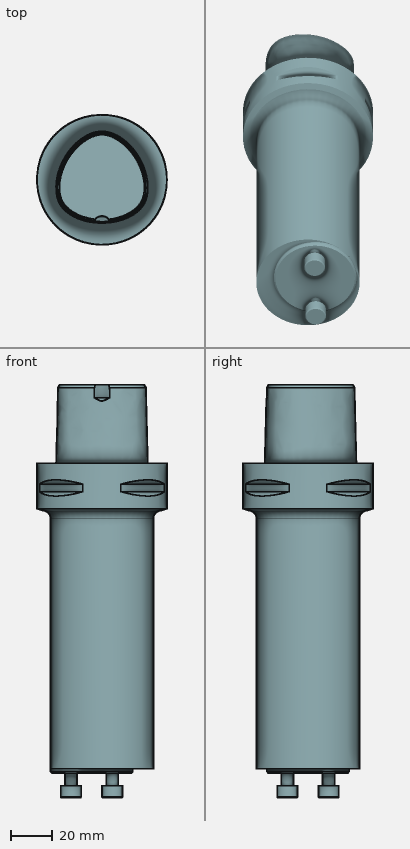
import cadquery as cq
import math

total_length = 200.0
shank_height = 38.0
screw_bottom_z = shank_height - total_length

shank_radius = 22.25
lobe_height = 1.25
taper = 1 / 40
rim_chamfer_height = 1.5
rim_chamfer_width = 0.8
outline_points = 48

notch_diameter = 8.0
notch_axis_y = -21.5
notch_depth = 6.3
drill_tip_angle = 118.0

flange_diameter = 63.0
flange_rim_height = 22.0
shoulder_drop = 1.0
neck_radius = 3.6
body_diameter = 50.0
body_bottom_z = -148.0

groove_count = 4
groove_z = -12.0
groove_floor_width = 3.6
groove_depth = 3.7
groove_flank_angle = 30.0

disc_diameter = 40.0
disc_thickness = 2.0
disc_chamfer = 0.8
disc_x = -(body_diameter - disc_diameter) / 2
screw_offset = 10.0
screw_shank_diameter = 6.0
screw_head_diameter = 10.0
screw_head_height = 6.0
screw_head_chamfer = 0.5


def lobed_point(mean_radius, angle):
    """Point of the constant-width outline whose normal points along angle."""
    reach = mean_radius - lobe_height * math.sin(3 * angle)
    slope = -3 * lobe_height * math.cos(3 * angle)
    return (
        reach * math.cos(angle) - slope * math.sin(angle),
        reach * math.sin(angle) + slope * math.cos(angle),
    )


def lobed_loft(lower_radius, upper_radius, lower_z, height):
    """Ruled solid between two lobed outlines."""
    angles = [2 * math.pi * i / outline_points for i in range(outline_points)]
    lower = [lobed_point(lower_radius, a) for a in angles]
    upper = [lobed_point(upper_radius, a) for a in angles]
    return (
        cq.Workplane("XY", origin=(0, 0, lower_z))
        .spline(lower, periodic=True).close()
        .workplane(offset=height)
        .spline(upper, periodic=True).close()
        .loft(ruled=True)
    )


def make_shank():
    rim_z = shank_height - rim_chamfer_height
    rim_radius = shank_radius - taper * rim_z
    cone = lobed_loft(shank_radius, rim_radius, 0, rim_z)
    rim = lobed_loft(rim_radius, rim_radius - rim_chamfer_width, rim_z, rim_chamfer_height)
    return cone.union(rim)


def make_notch_cutter():
    """Drill shape: a cylinder with a conical tip, its axis just outside the shank."""
    radius = notch_diameter / 2
    tip_height = radius / math.tan(math.radians(drill_tip_angle / 2))
    shoulder_z = shank_height - notch_depth
    return (
        cq.Workplane("XZ")
        .moveTo(0, shoulder_z - tip_height)
        .lineTo(radius, shoulder_z)
        .lineTo(radius, shank_height)
        .lineTo(0, shank_height)
        .close()
        .revolve(360, (0, 0, 0), (0, 1, 0))
        .translate((0, notch_axis_y, 0))
    )


def make_flange_and_body():
    shoulder_z = -flange_rim_height - shoulder_drop
    body_radius = body_diameter / 2
    return (
        cq.Workplane("XZ")
        .lineTo(flange_diameter / 2, 0)
        .lineTo(flange_diameter / 2, -flange_rim_height)
        .lineTo(body_radius + neck_radius, shoulder_z)
        .radiusArc((body_radius, shoulder_z - neck_radius), -neck_radius)
        .lineTo(body_radius, body_bottom_z)
        .lineTo(0, body_bottom_z)
        .close()
        .revolve(360, (0, 0, 0), (0, 1, 0))
    )


def make_groove_cutter(direction):
    """Straight trapezoidal groove across the flange rim, facing the given angle."""
    outer_x = flange_diameter / 2
    floor_x = outer_x - groove_depth
    floor_half = groove_floor_width / 2
    mouth_half = floor_half + groove_depth * math.tan(math.radians(groove_flank_angle))
    return (
        cq.Workplane("XZ")
        .moveTo(floor_x, groove_z - floor_half)
        .lineTo(outer_x, groove_z - mouth_half)
        .lineTo(outer_x, groove_z + mouth_half)
        .lineTo(floor_x, groove_z + floor_half)
        .close()
        .extrude(flange_diameter / 2, both=True)
        .rotate((0, 0, 0), (0, 0, 1), direction)
    )


def make_disc():
    return (
        cq.Workplane("XY", origin=(disc_x, 0, body_bottom_z))
        .circle(disc_diameter / 2)
        .extrude(-disc_thickness)
        .faces("<Z").chamfer(disc_chamfer)
    )


def make_screw(x, y):
    head_top_z = screw_bottom_z + screw_head_height
    head = (
        cq.Workplane("XY", origin=(x, y, screw_bottom_z))
        .circle(screw_head_diameter / 2)
        .extrude(screw_head_height)
        .faces("<Z").chamfer(screw_head_chamfer)
    )
    shank = (
        cq.Workplane("XY", origin=(x, y, head_top_z))
        .circle(screw_shank_diameter / 2)
        .extrude(body_bottom_z - head_top_z)
    )
    return head.union(shank)


result = make_flange_and_body()
for index in range(groove_count):
    result = result.cut(make_groove_cutter(360 / groove_count * (index + 0.5)))
result = result.union(make_shank().cut(make_notch_cutter()))
result = result.union(make_disc())
for side in (-1, 1):
    result = result.union(make_screw(disc_x + side * screw_offset, -side * screw_offset))